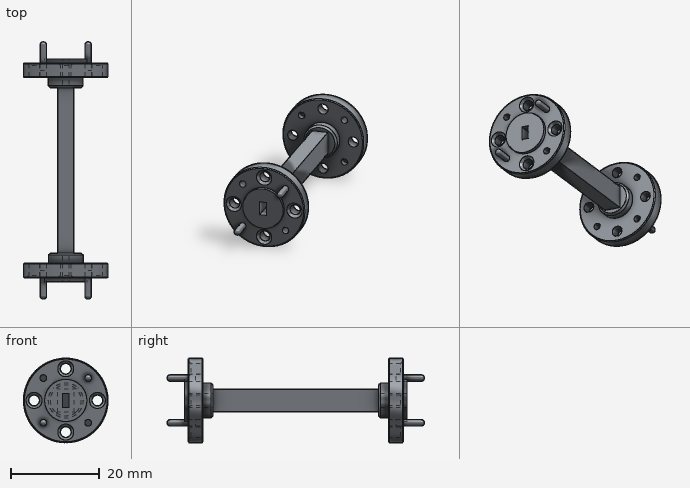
import cadquery as cq

total_length = 58.0

disc_diameter = 19.1
disc_thickness = 3.35
disc_edge_chamfer = 0.25

face_diameter = 9.5
face_height = 0.85

hub_diameter = 7.9
hub_length = 2.25
hub_chamfer = 0.45

window_width = 1.55
window_height = 3.1

pitch_diameter = 14.25
screw_hole_diameter = 2.4
countersink_diameter = 3.6
countersink_angle = 90.0

pin_diameter = 1.5
pin_projection = 4.75
pin_insertion = disc_thickness / 2

bar_width = 3.7
bar_height = 5.1

disc_outer_y = -total_length / 2 + pin_projection
hub_end_y = disc_outer_y + disc_thickness + hub_length
pin_offset = pitch_diameter / 2 * 0.5 ** 0.5


def section_plane(y):
    """Plane at the given Y whose normal points along +Y, into the assembly."""
    return cq.Workplane(cq.Plane(origin=(0, y, 0), xDir=(1, 0, 0), normal=(0, 1, 0)))


def make_flange():
    """Flange at the -Y end, with its contact face toward -Y."""
    disc = section_plane(disc_outer_y).circle(disc_diameter / 2).extrude(disc_thickness)
    disc = disc.edges().chamfer(disc_edge_chamfer)
    contact_face = section_plane(disc_outer_y).circle(face_diameter / 2).extrude(-face_height)
    hub = section_plane(disc_outer_y + disc_thickness).circle(hub_diameter / 2).extrude(hub_length)
    hub = hub.faces(">Y").edges().chamfer(hub_chamfer)
    flange = disc.union(contact_face).union(hub)

    window = section_plane(disc_outer_y - face_height).rect(window_width, window_height)
    flange = flange.cut(window.extrude(face_height + disc_thickness + hub_length))

    flange = (
        flange.copyWorkplane(cq.Workplane("XZ", origin=(0, disc_outer_y, 0)))
        .polarArray(pitch_diameter / 2, 0, 360, 4)
        .cskHole(screw_hole_diameter, countersink_diameter, countersink_angle)
    )

    pin_holes = (
        section_plane(disc_outer_y)
        .rect(2 * pin_offset, 2 * pin_offset, forConstruction=True)
        .vertices()
        .circle(pin_diameter / 2)
        .extrude(disc_thickness)
    )
    return flange.cut(pin_holes)


def make_pin(side):
    """Round-tipped pin of the -Y flange, at +X +Z for side 1 and at -X -Z for side -1."""
    radius = pin_diameter / 2
    tip_y = -total_length / 2
    inner_end_y = disc_outer_y + pin_insertion
    half_profile = (
        cq.Workplane("XY")
        .moveTo(0, tip_y)
        .radiusArc((radius, tip_y + radius), -radius)
        .lineTo(radius, inner_end_y)
        .lineTo(0, inner_end_y)
        .close()
    )
    pin = half_profile.revolve(360, (0, 0, 0), (0, 1, 0))
    return pin.translate((side * pin_offset, 0, side * pin_offset))


def make_bar():
    """Solid bar between the two hubs."""
    return cq.Workplane("XY").box(bar_width, -2 * hub_end_y, bar_height)


bodies = [make_bar().val()]
for turn in (0, 180):
    end_bodies = [make_flange(), make_pin(1), make_pin(-1)]
    for body in end_bodies:
        bodies.append(body.rotate((0, 0, 0), (0, 0, 1), turn).val())

result = cq.Compound.makeCompound(bodies)